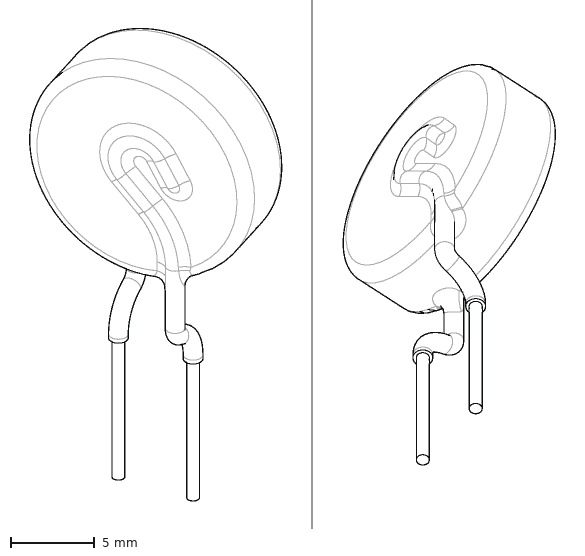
import cadquery as cq
import math

disc_diameter = 15.0
disc_thickness = 5.0
rim_fillet = 0.8

overall_height = 31.5
overall_depth = 6.0
lead_spacing = 5.0
coating_diameter = 1.2
wire_diameter = 0.8
coating_blend = 0.98

hook_center_x = 0.25
hook_center_z = 0.85
hook_radius = 1.6
hook_start_angle = 225.0
hook_end_angle = 30.0
hook_tail = 1.9
sweep_start_z = -5.92

kink_top_z = -10.4
kink_bottom_z = -13.73
kink_upper_radius = 0.9
coating_bottom_z = -14.02

disc_radius = disc_diameter / 2
coating_radius = coating_diameter / 2
lead_x = lead_spacing / 2
lead_y = -(overall_depth / 2 - coating_radius)
wire_bottom_z = disc_radius - overall_height


def make_disc():
    disc = cq.Workplane("XZ", origin=(0, disc_thickness / 2, 0)).circle(disc_radius).extrude(disc_thickness)
    return disc.edges("%CIRCLE").fillet(rim_fillet)


def hook_point(angle):
    """Point on the hook centreline at an angle in degrees, counter-clockwise from +X."""
    radians = math.radians(angle)
    x = hook_center_x + hook_radius * math.cos(radians)
    z = hook_center_z + hook_radius * math.sin(radians)
    return cq.Vector(x, lead_y, z)


def lead_path():
    """Return the coated lead's centreline, from its bottom end to the hook tip, and the tip."""
    down = cq.Vector(0, 0, -1)
    up = cq.Vector(0, 0, 1)

    kink_drop = kink_top_z - kink_bottom_z
    kink_turn = 2 * math.atan2(-lead_y, kink_drop)
    coating_end = cq.Vector(lead_x, 0, coating_bottom_z)
    kink_bottom = cq.Vector(lead_x, 0, kink_bottom_z)
    kink_joint = cq.Vector(
        lead_x,
        lead_y + kink_upper_radius * (1 - math.cos(kink_turn)),
        kink_top_z - kink_upper_radius * math.sin(kink_turn),
    )
    kink_top = cq.Vector(lead_x, lead_y, kink_top_z)

    hook_start = hook_point(hook_start_angle)
    hook_middle = hook_point((hook_start_angle + hook_end_angle) / 2)
    hook_end = hook_point(hook_end_angle)
    line_angle = math.radians(hook_start_angle - 90)
    sweep_turn = line_angle - math.pi / 2
    line_z_at_lead = hook_start.z + (lead_x - hook_start.x) * math.tan(line_angle)
    tangent_length = line_z_at_lead - sweep_start_z
    sweep_start = cq.Vector(lead_x, lead_y, sweep_start_z)
    sweep_end = cq.Vector(
        lead_x - tangent_length * math.sin(sweep_turn),
        lead_y,
        line_z_at_lead + tangent_length * math.cos(sweep_turn),
    )
    tail_angle = math.radians(hook_end_angle - 90)
    tip = hook_end + cq.Vector(math.cos(tail_angle), 0, math.sin(tail_angle)) * hook_tail

    edges = [
        cq.Edge.makeLine(coating_end, kink_bottom),
        cq.Edge.makeTangentArc(kink_bottom, up, kink_joint),
        cq.Edge.makeTangentArc(kink_top, down, kink_joint),
        cq.Edge.makeLine(kink_top, sweep_start),
        cq.Edge.makeTangentArc(sweep_start, up, sweep_end),
        cq.Edge.makeLine(sweep_end, hook_start),
        cq.Edge.makeThreePointArc(hook_start, hook_middle, hook_end),
        cq.Edge.makeLine(hook_end, tip),
    ]
    return cq.Wire.assembleEdges(edges), tip


def make_lead():
    path, tip = lead_path()
    profile = cq.Workplane("XY", origin=(lead_x, 0, coating_bottom_z)).circle(coating_radius)
    coating = profile.sweep(cq.Workplane(path))
    rounded_tip = cq.Workplane("XY").sphere(coating_radius).translate(tip.toTuple())
    return coating.union(rounded_tip)


def make_wire():
    bottom = cq.Workplane("XY", origin=(lead_x, 0, wire_bottom_z))
    return bottom.circle(wire_diameter / 2).extrude(kink_bottom_z - wire_bottom_z)


def opposite(shape):
    """The second lead is the first turned half a revolution about Z."""
    return shape.rotate((0, 0, 0), (0, 0, 1), 180)


def blend_into_disc(body):
    """Fillet the tangent chain of edges where the coated leads emerge from the disc."""

    def lies_in_a_disc_face(edge):
        return math.isclose(abs(edge.Center().y), disc_thickness / 2, abs_tol=0.0003)

    return body.edges("%LINE").filter(lies_in_a_disc_face).fillet(coating_blend)


lead = make_lead()
wire = make_wire()
coated_body = make_disc().union(lead).union(opposite(lead))
result = blend_into_disc(coated_body).union(wire).union(opposite(wire))